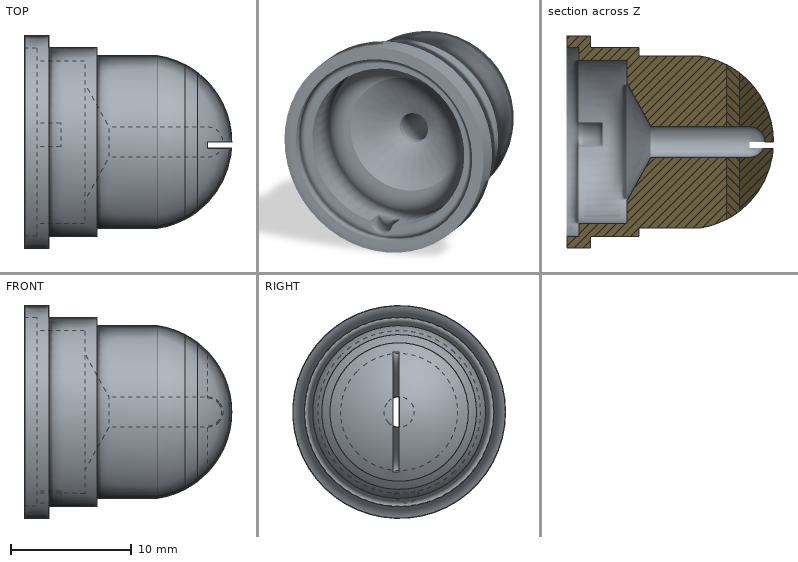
import cadquery as cq
import math


overall_length = 17.18
recess_depth = 1.0
flange_end = 2.0
bore_depth = 5.0
sleeve_end = 6.0
cone_end = 7.0
dome_start = 11.0
ring_start = 13.3
cap_start = 14.35
slot_floor = 15.19

flange_radius = 8.83
sleeve_radius = 7.85
barrel_radius = 7.17

recess_radius = 7.82
bore_radius = 6.75
cone_mouth_radius = 4.85
passage_radius = 1.25

slot_width = 0.5

key_radius = 0.99
key_length = 2.0
key_center_y = 0.6
key_center_z = -6.57

dome_height = overall_length - dome_start
dome_radius = (dome_height**2 + barrel_radius**2) / (2 * dome_height)
dome_center = overall_length - dome_radius


def dome_point(x):
    """Point of the dome outline at station x."""
    return (x, math.sqrt(dome_radius**2 - (x - dome_center)**2))


def revolve_about_axis(outline):
    """Turn a closed half outline, drawn in XY, once around the X axis."""
    return outline.close().revolve(360, (0, 0, 0), (1, 0, 0))


def axial_cylinder(radius, start, length, y=0, z=0):
    return cq.Workplane("YZ", origin=(start, y, z)).circle(radius).extrude(length)


def make_barrel():
    """Flange, sleeve and lower dome, with the stepped bore and its cone."""
    outline = (
        cq.Workplane("XY")
        .moveTo(0, recess_radius)
        .lineTo(0, flange_radius)
        .lineTo(flange_end, flange_radius)
        .lineTo(flange_end, sleeve_radius)
        .lineTo(sleeve_end, sleeve_radius)
        .lineTo(sleeve_end, barrel_radius)
        .lineTo(dome_start, barrel_radius)
        .threePointArc(dome_point((dome_start + ring_start) / 2), dome_point(ring_start))
        .lineTo(ring_start, passage_radius)
        .lineTo(cone_end, passage_radius)
        .lineTo(bore_depth, cone_mouth_radius)
        .lineTo(bore_depth, bore_radius)
        .lineTo(recess_depth, bore_radius)
        .lineTo(recess_depth, recess_radius)
    )
    key_groove = axial_cylinder(key_radius, recess_depth, key_length, key_center_y, key_center_z)
    return revolve_about_axis(outline).cut(key_groove)


def make_ring():
    """Slice of the dome between the barrel and the cap."""
    outline = (
        cq.Workplane("XY")
        .moveTo(ring_start, passage_radius)
        .lineTo(*dome_point(ring_start))
        .threePointArc(dome_point((ring_start + cap_start) / 2), dome_point(cap_start))
        .lineTo(cap_start, passage_radius)
    )
    return revolve_about_axis(outline)


def make_cap():
    """Dome tip with the round end of the passage and the slot."""
    outline = (
        cq.Workplane("XY")
        .moveTo(cap_start, 0)
        .lineTo(*dome_point(cap_start))
        .threePointArc(dome_point((cap_start + overall_length) / 2), (overall_length, 0))
    )
    passage = axial_cylinder(passage_radius, cap_start, slot_floor - cap_start)
    passage_end = cq.Workplane("XY").sphere(passage_radius).translate((slot_floor, 0, 0))
    slot = (
        cq.Workplane("XY")
        .box(dome_height, slot_width, 2 * dome_radius, centered=(False, False, True))
        .translate((slot_floor, -slot_width, 0))
    )
    return revolve_about_axis(outline).cut(passage).cut(passage_end).cut(slot)


barrel = make_barrel()
ring = make_ring()
cap = make_cap()

bodies = [body.solids().val() for body in (barrel, ring, cap)]
result = cq.Compound.makeCompound(bodies)